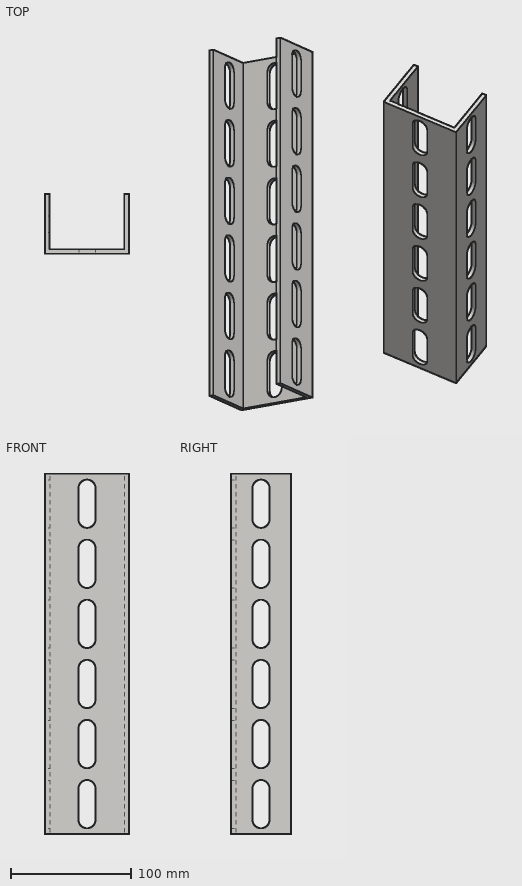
import cadquery as cq

width = 70.0
depth = 50.0
length = 300.0
thickness = 4.0

slot_count = 6
slot_pitch = length / slot_count
slot_length = 40.0
slot_width = 14.0
upright = 90.0


def channel():
    """U channel standing along Z, web on the -Y side, open towards +Y."""
    body = cq.Workplane("XY").box(width, depth, length)
    cavity = (
        cq.Workplane("XY")
        .box(width - 2 * thickness, depth, length)
        .translate((0, thickness, 0))
    )
    return body.cut(cavity)


def slot_row(plane, reach):
    """Row of vertical slot cutters, extruded by reach both ways from the plane."""
    middle = (slot_count - 1) / 2
    centres = [(0, (i - middle) * slot_pitch) for i in range(slot_count)]
    return (
        cq.Workplane(plane)
        .pushPoints(centres)
        .slot2D(slot_length, slot_width, upright)
        .extrude(reach, both=True)
    )


web_slots = slot_row("XZ", depth)
flange_slots = slot_row("YZ", width)

result = channel().cut(web_slots).cut(flange_slots)